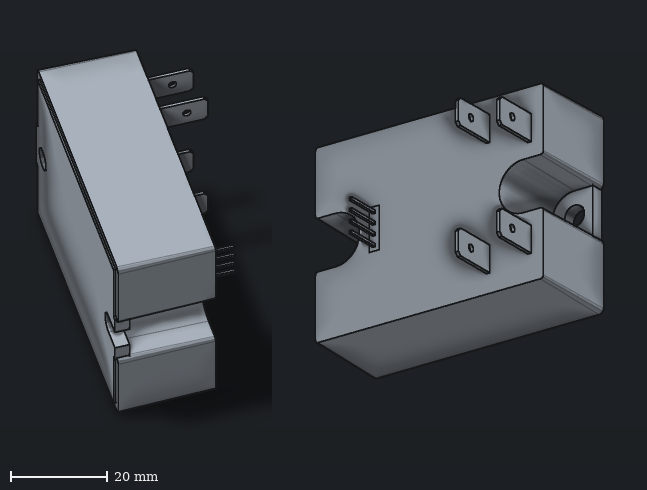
import cadquery as cq
import math


housing_length = 58.77
housing_height = 45.3
housing_base_y = 0.45
housing_top_y = 21.8
draft_angle = 1.0
corner_radius = 1.12

mount_spacing = 47.75
mount_x = mount_spacing / 2
mount_diameter = 4.88
notch_width = 11.4

plate_thickness = 3.2
plate_length = 55.14
plate_height = 41.88
tongue_length = 57.15
tongue_height = 12.6

tab_width = 6.35
tab_thickness = 0.81
tab_tip_y = 33.17
tab_chamfer = 0.8
tab_hole_diameter = 1.65
tab_hole_from_tip = 4.57
outer_tab_x = -25.5
inner_tab_x = -15.0
tab_centres = [
    (outer_tab_x, 12.8),
    (inner_tab_x, 15.3),
    (outer_tab_x, -12.65),
    (inner_tab_x, -14.45),
]

pin_x = 14.05
pin_count = 4
pin_pitch = 2.54
pin_size = 0.64
pin_tip_y = 30.6
pin_tip_chamfer = 0.2
header_bar_width = pin_pitch
header_bar_depth = pin_pitch


def block(length, y_start, y_end, height, centre_x=0.0, centre_z=0.0):
    """Box centred on (centre_x, centre_z) that spans y_start to y_end."""
    return (
        cq.Workplane("XY")
        .box(length, y_end - y_start, height)
        .translate((centre_x, (y_start + y_end) / 2, centre_z))
    )


def drafted_outline(y):
    """Housing cross-section at height y; every side leans inwards by the draft angle."""
    inset = (y - housing_base_y) * math.tan(math.radians(draft_angle))
    half_length = housing_length / 2 - inset
    half_height = housing_height / 2 - inset
    notch_radius = notch_width / 2 + inset
    radius = corner_radius - inset
    arc_point = radius * (1 - math.sqrt(0.5))

    outline = cq.Workplane("XZ", origin=(0, y, 0)).moveTo(mount_x, notch_radius)
    for side in (1, -1):
        outline = (
            outline.lineTo(side * (half_length - radius), side * notch_radius)
            .threePointArc(
                (side * (half_length - arc_point), side * (notch_radius + arc_point)),
                (side * half_length, side * (notch_radius + radius)),
            )
            .lineTo(side * half_length, side * (half_height - radius))
            .threePointArc(
                (side * (half_length - arc_point), side * (half_height - arc_point)),
                (side * (half_length - radius), side * half_height),
            )
            .lineTo(-side * (half_length - radius), side * half_height)
            .threePointArc(
                (-side * (half_length - arc_point), side * (half_height - arc_point)),
                (-side * half_length, side * (half_height - radius)),
            )
            .lineTo(-side * half_length, side * (notch_radius + radius))
            .threePointArc(
                (-side * (half_length - arc_point), side * (notch_radius + arc_point)),
                (-side * (half_length - radius), side * notch_radius),
            )
            .lineTo(-side * mount_x, side * notch_radius)
            .threePointArc(
                (-side * (mount_x - notch_radius), 0),
                (-side * mount_x, -side * notch_radius),
            )
        )
    return outline.close().wires().val()


def make_plate_blank():
    """Base plate without openings: a rectangle with a tongue reaching into each notch."""
    plate = block(plate_length, 0, plate_thickness, plate_height)
    return plate.union(block(tongue_length, 0, plate_thickness, tongue_height))


def make_plate():
    """Base plate with a mounting hole at -X and an open mounting slot at +X."""
    hole = (
        cq.Workplane("XZ")
        .pushPoints([(-mount_x, 0), (mount_x, 0)])
        .circle(mount_diameter / 2)
        .extrude(-plate_thickness)
    )
    slot_length = tongue_length / 2 - mount_x
    slot_centre_x = mount_x + slot_length / 2
    slot = block(slot_length, 0, plate_thickness, mount_diameter, slot_centre_x)
    return make_plate_blank().cut(hole).cut(slot)


def make_header_bar():
    """Bar that carries the pins, flush with the top of the housing."""
    return block(
        header_bar_width,
        housing_top_y - header_bar_depth,
        housing_top_y,
        pin_count * pin_pitch,
        pin_x,
    )


def make_pin(centre_z):
    """Square pin with a tapered tip, standing on the header bar."""
    pin = block(pin_size, housing_top_y, pin_tip_y, pin_size, pin_x, centre_z)
    return pin.faces(">Y").chamfer(pin_tip_chamfer)


def make_header():
    header = make_header_bar()
    for index in range(pin_count):
        centre_z = (index - (pin_count - 1) / 2) * pin_pitch
        header = header.union(make_pin(centre_z))
    return header


def make_housing():
    """Drafted, notched block with recesses for the base plate and the header bar."""
    outlines = [drafted_outline(y) for y in (housing_base_y, housing_top_y)]
    outer = cq.Solid.makeLoft(outlines, True)
    return cq.Workplane(outer).cut(make_plate_blank()).cut(make_header_bar())


def make_tab(centre_x, centre_z):
    """Flat terminal with chamfered tip corners and a locking hole, standing on the housing."""
    tab = block(tab_thickness, housing_top_y, tab_tip_y, tab_width, centre_x, centre_z)
    tab = tab.edges("|X and >Y").chamfer(tab_chamfer)
    hole = (
        cq.Workplane("YZ", origin=(centre_x, tab_tip_y - tab_hole_from_tip, centre_z))
        .circle(tab_hole_diameter / 2)
        .extrude(tab_thickness, both=True)
    )
    return tab.cut(hole)


housing = make_housing()
plate = make_plate()
header = make_header()
tabs = [make_tab(x, z) for x, z in tab_centres]

result = cq.Compound.makeCompound(
    [housing.val(), plate.val(), header.val(), *[tab.val() for tab in tabs]]
)